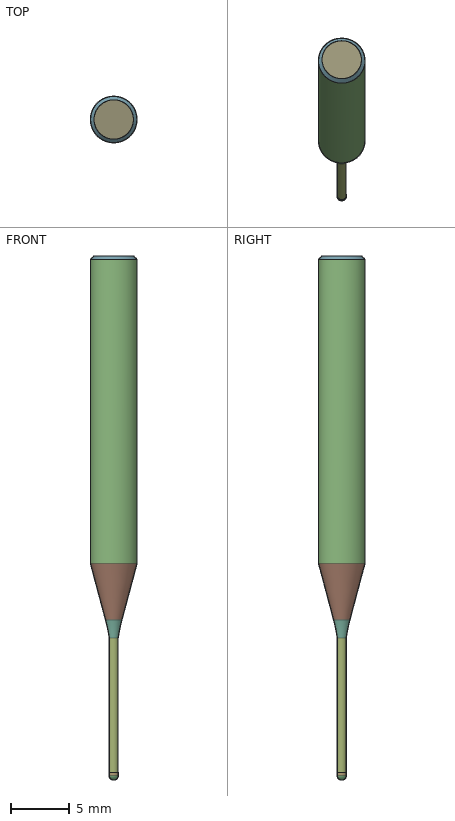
import cadquery as cq
import math

overall_length = 45.0
shank_radius = 4.0 / 2
shank_chamfer = 0.3
cutter_radius = 0.4
cutter_length = 0.68
neck_radius = 0.385
neck_top_z = 12.2
taper_half_angle = math.radians(15)
taper_top_z = 18.6
blend_height = 1.58

blend_top_z = neck_top_z + blend_height
blend_top_radius = shank_radius - (taper_top_z - blend_top_z) * math.tan(taper_half_angle)


def revolve_about_z(profile):
    """Turn a closed radius-height profile fully around the Z axis."""
    return profile.close().revolve(360, (0, 0, 0), (0, 1, 0))


def make_shank():
    """Chamfered shank, taper, concave blend and slender neck."""
    profile = (
        cq.Workplane("XZ")
        .moveTo(0, overall_length)
        .lineTo(shank_radius - shank_chamfer, overall_length)
        .lineTo(shank_radius, overall_length - shank_chamfer)
        .lineTo(shank_radius, taper_top_z)
        .lineTo(blend_top_radius, blend_top_z)
        .tangentArcPoint((neck_radius, neck_top_z), relative=False)
        .lineTo(neck_radius, cutter_length)
        .lineTo(0, cutter_length)
    )
    return revolve_about_z(profile)


def make_cutter():
    """Short cylindrical cutting head with a hemispherical end."""
    arc_offset = cutter_radius * math.sqrt(0.5)
    profile = (
        cq.Workplane("XZ")
        .moveTo(0, 0)
        .threePointArc((arc_offset, cutter_radius - arc_offset), (cutter_radius, cutter_radius))
        .lineTo(cutter_radius, cutter_length)
        .lineTo(0, cutter_length)
    )
    return revolve_about_z(profile)


shank = make_shank()
cutter = make_cutter()

result = cq.Compound.makeCompound([shank.val(), cutter.val()])